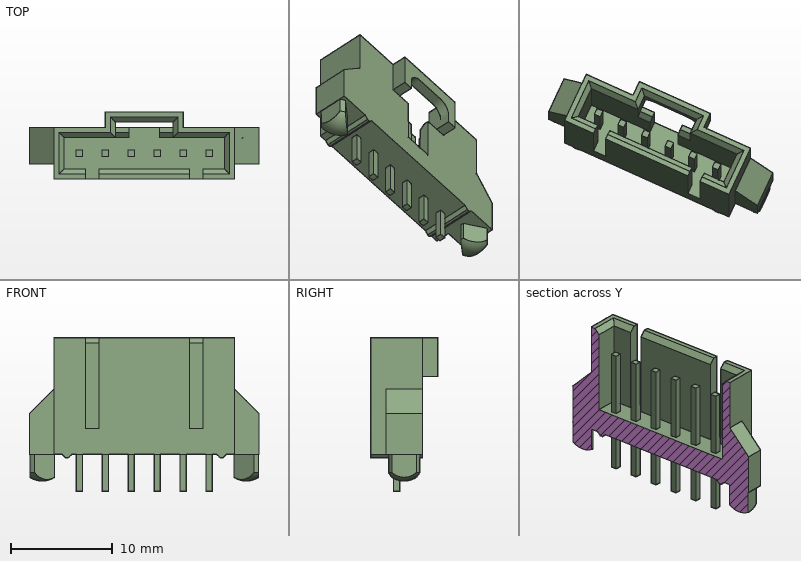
import cadquery as cq
import math


body_length = 17.75
body_depth = 5.1
body_height = 11.48
floor_height = 2.57

rim = 0.5
lead_in = 0.52
wall = rim + lead_in

bump_width = 7.67
bump_depth = 1.51
bump_height = 3.84
bump_bottom = body_height - bump_height
bump_window_height = 2.35
bump_window_fillet = 1.26

front_slot_width = 1.3
front_slot_offset = 5.1
back_slot_width = 3.0

overall_length = 22.55
wing_width = (overall_length - body_length) / 2
wing_depth = 3.6
wing_side_height = 4.02

post_spacing = 20.03
post_length = 2.62
post_radius = 1.71
post_flat = 1.22
post_shoulder = 1.53
post_taper_angle = 34.7
post_dome_radius = 2.17

pin_count = 6
pin_pitch = 2.55
pin_size = 0.63
pin_length_below = 3.63
pin_top = 8.98

ridge_offset = 7.6
ridge_height = 0.34
ridge_bottom_width = 0.27


def block(x_min, x_max, y_min, y_max, z_min, z_max):
    size = (x_max - x_min, y_max - y_min, z_max - z_min)
    return cq.Workplane().box(*size, centered=False).translate((x_min, y_min, z_min))


def cavity_outline(z, inset):
    """T-shaped outline of the mating opening, inset from the outer walls."""
    half_body = body_length / 2 - inset
    half_bump = bump_width / 2 - inset
    back = body_depth - inset
    return (
        cq.Workplane("XY", origin=(0, 0, z))
        .moveTo(-half_body, inset)
        .lineTo(half_body, inset)
        .lineTo(half_body, back)
        .lineTo(half_bump, back)
        .lineTo(half_bump, back + bump_depth)
        .lineTo(-half_bump, back + bump_depth)
        .lineTo(-half_bump, back)
        .lineTo(-half_body, back)
        .close()
    )


def make_lead_in():
    """Space above the 45 degree lead-in, narrowing downwards with mitred corners."""
    opening = cavity_outline(body_height, rim).wires().val()
    throat = cavity_outline(body_height - lead_in, wall).wires().val()
    return cq.Workplane(cq.Solid.makeLoft([opening, throat], True))


def make_shell():
    half_body = body_length / 2
    half_bump = bump_width / 2
    bump_back = body_depth + bump_depth
    shell = block(-half_body, half_body, 0, body_depth, 0, body_height)
    shell = shell.union(block(-half_bump, half_bump, body_depth, bump_back, bump_bottom, body_height))

    shell = shell.cut(cavity_outline(bump_bottom, wall).extrude(bump_height))
    shell = shell.cut(make_lead_in())

    half_cavity = half_body - wall
    shell = shell.cut(block(-half_cavity, half_cavity, wall, body_depth - wall, floor_height, bump_bottom))

    half_opening = half_bump - wall
    cavity_back = body_depth - wall
    lowered_lead_in = (
        cq.Workplane("YZ", origin=(-half_opening, 0, 0))
        .moveTo(cavity_back, bump_bottom)
        .lineTo(cavity_back + lead_in, bump_bottom)
        .lineTo(cavity_back, bump_bottom - lead_in)
        .close()
        .extrude(2 * half_opening)
    )
    return shell.cut(lowered_lead_in)


def cut_bump_window(shell):
    """Opening up from the lower edge of the bump's back wall, rounded at its top corners."""
    half_opening = bump_width / 2 - wall
    window = block(
        -half_opening, half_opening,
        body_depth, body_depth + bump_depth,
        bump_bottom, bump_bottom + bump_window_height,
    )
    return shell.cut(window.edges("|Y and >Z").fillet(bump_window_fillet))


def cut_wall_slots(shell):
    half_slot = front_slot_width / 2
    for x in (-front_slot_offset, front_slot_offset):
        shell = shell.cut(block(x - half_slot, x + half_slot, 0, wall, floor_height, body_height))
    half_slot = back_slot_width / 2
    return shell.cut(block(-half_slot, half_slot, body_depth - wall, body_depth, floor_height, bump_bottom))


def make_wing():
    """Right-hand wing with a 45 degree top."""
    inner = body_length / 2
    outer = overall_length / 2
    return (
        cq.Workplane("XZ", origin=(0, body_depth, 0))
        .moveTo(inner, 0)
        .lineTo(outer, 0)
        .lineTo(outer, wing_side_height)
        .lineTo(inner, wing_side_height + wing_width)
        .close()
        .extrude(wing_depth)
    )


def make_post():
    """Right-hand post: flat outside, round shoulders, tapering inwards, domed end."""
    flat_half = math.sqrt(post_radius**2 - post_flat**2)
    shoulder_x = math.sqrt(post_radius**2 - post_shoulder**2)
    arc_angle = (math.atan2(flat_half, post_flat) + math.atan2(post_shoulder, shoulder_x)) / 2
    arc_x = post_radius * math.cos(arc_angle)
    arc_y = post_radius * math.sin(arc_angle)
    taper_run = shoulder_x + post_flat
    tip_half = post_shoulder - taper_run * math.tan(math.radians(post_taper_angle))
    column = (
        cq.Workplane()
        .moveTo(post_flat, -flat_half)
        .lineTo(post_flat, flat_half)
        .threePointArc((arc_x, arc_y), (shoulder_x, post_shoulder))
        .lineTo(-post_flat, tip_half)
        .lineTo(-post_flat, -tip_half)
        .lineTo(shoulder_x, -post_shoulder)
        .threePointArc((arc_x, -arc_y), (post_flat, -flat_half))
        .close()
        .extrude(-post_length)
    )
    dome_centre = post_dome_radius - post_length
    dome = cq.Workplane().sphere(post_dome_radius).translate((0, 0, dome_centre))
    post = column.intersect(dome)
    return post.translate((post_spacing / 2, body_depth - wing_depth / 2, 0))


def make_ridge():
    """Right-hand standoff ridge: 45 degree sides, running the full housing depth."""
    bottom = ridge_bottom_width / 2
    top = bottom + ridge_height
    return (
        cq.Workplane("XZ", origin=(ridge_offset, body_depth, 0))
        .moveTo(-top, 0)
        .lineTo(-bottom, -ridge_height)
        .lineTo(bottom, -ridge_height)
        .lineTo(top, 0)
        .close()
        .extrude(body_depth)
    )


def make_pin(index):
    x = (index - (pin_count - 1) / 2) * pin_pitch
    y = body_depth / 2
    half = pin_size / 2
    return block(x - half, x + half, y - half, y + half, -pin_length_below, pin_top)


result = cut_wall_slots(cut_bump_window(make_shell()))
for feature in (make_wing(), make_post(), make_ridge()):
    result = result.union(feature).union(feature.mirror("YZ"))
for pin_index in range(pin_count):
    result = result.union(make_pin(pin_index))